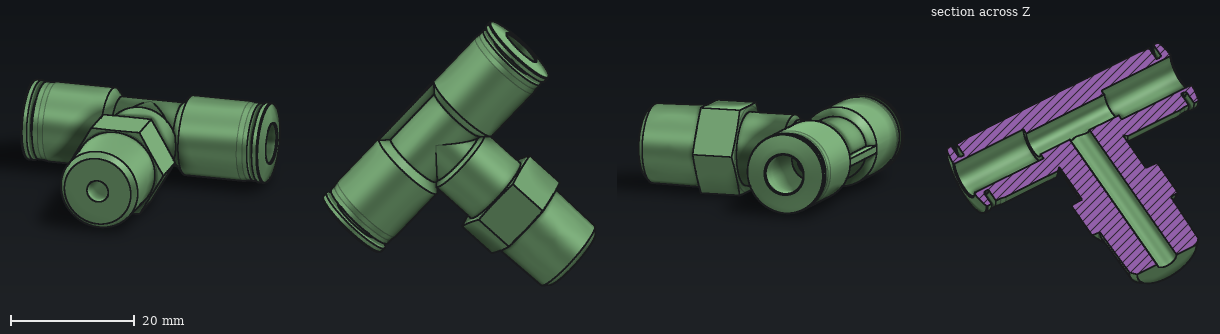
import cadquery as cq
import math

half_length = 20.4
socket_radius = 13.0 / 2
mouth_step_radius = 12.7 / 2
neck_radius = 5.2
neck_half_length = 5.22
shoulder_x = neck_half_length + socket_radius - neck_radius
mouth_taper_x = 16.3
mouth_step_x = 17.2
mouth_x = 18.05

collar_back_x = 18.93
collar_rim_x = 19.7
collar_edge_x = 19.9
collar_edge_drop = 0.1
collar_dome_mid_x = 20.25
collar_dome_mid_radius = 5.0
stem_radius = 7.75 / 2
stem_root_radius = 4.05
stem_root_x = 18.55

tube_radius = 6.35 / 2
tube_stop_x = 7.35
tube_lead_in = 0.2
run_bore_radius = 4.5 / 2

branch_radius = 12.0 / 2
branch_cone_start = 4.8
branch_cone_end = 5.45
hex_start = 13.15
hex_length = 6.85
hex_flats = 14.0
hex_bevel_angle = 6.0
hex_bevel_radius = hex_flats / 2
hex_end = hex_start + hex_length
thread_base_radius = 6.7
thread_tip_radius = 6.5
thread_bevel = 0.95
thread_tip_face_radius = 5.6
branch_end = 36.5 - socket_radius
branch_bore_radius = 3.6 / 2

back_rib_thickness = 1.22


def revolve_branch(points):
    """Turn (radius, distance towards -Y) points about the Y axis."""
    outline = [(radius, -distance) for radius, distance in points]
    return cq.Workplane("XY").polyline(outline).close().revolve(360, (0, 0), (0, 1))


def make_socket():
    """One half of the run, on the +X side, with its collar."""
    return (
        cq.Workplane("XY")
        .moveTo(0, 0)
        .lineTo(0, neck_radius)
        .lineTo(neck_half_length, neck_radius)
        .lineTo(shoulder_x, socket_radius)
        .lineTo(mouth_taper_x, socket_radius)
        .lineTo(mouth_step_x, mouth_step_radius)
        .lineTo(mouth_x, mouth_step_radius)
        .lineTo(mouth_x, stem_radius)
        .lineTo(stem_root_x, stem_radius)
        .lineTo(collar_back_x, stem_root_radius)
        .lineTo(collar_back_x, socket_radius)
        .lineTo(collar_rim_x, socket_radius)
        .lineTo(collar_edge_x, socket_radius - collar_edge_drop)
        .threePointArc(
            (collar_dome_mid_x, collar_dome_mid_radius),
            (half_length, tube_radius + tube_lead_in),
        )
        .lineTo(half_length, 0)
        .close()
        .revolve(360, (0, 0), (1, 0))
    )


def make_tube_bore():
    """Tube seat on the +X side with a small lead-in at the mouth."""
    return (
        cq.Workplane("XY")
        .moveTo(tube_stop_x, 0)
        .lineTo(tube_stop_x, tube_radius)
        .lineTo(half_length - tube_lead_in, tube_radius)
        .lineTo(half_length, tube_radius + tube_lead_in)
        .lineTo(half_length, 0)
        .close()
        .revolve(360, (0, 0), (1, 0))
    )


def make_branch():
    """Round branch and tapered thread body, meeting the run neck in a mitre."""
    return revolve_branch([
        (0, 0),
        (neck_radius, 0),
        (neck_radius, branch_cone_start),
        (branch_radius, branch_cone_end),
        (branch_radius, hex_start),
        (thread_base_radius, hex_start),
        (thread_base_radius, hex_end),
        (thread_tip_radius, branch_end - thread_bevel),
        (thread_tip_face_radius, branch_end),
        (0, branch_end),
    ])


def make_hex():
    """Wrench hexagon with flats facing +Z and -Z and both ends bevelled."""
    corner_radius = hex_flats / math.sqrt(3)
    bevel = (corner_radius - hex_bevel_radius) * math.tan(math.radians(hex_bevel_angle))
    prism = (
        cq.Workplane("XZ", origin=(0, -hex_start, 0))
        .polygon(6, 2 * corner_radius)
        .extrude(hex_length)
    )
    envelope = revolve_branch([
        (0, hex_start),
        (hex_bevel_radius, hex_start),
        (corner_radius, hex_start + bevel),
        (corner_radius, hex_end - bevel),
        (hex_bevel_radius, hex_end),
        (0, hex_end),
    ])
    return prism.intersect(envelope)


def make_back_rib():
    """Flat rib bridging the two sockets on the side opposite the branch."""
    return cq.Workplane("XY").box(
        2 * shoulder_x, socket_radius, back_rib_thickness, centered=(True, False, True)
    )


socket = make_socket()
tube_bore = make_tube_bore()
run_bore = cq.Workplane("YZ").circle(run_bore_radius).extrude(half_length, both=True)
branch_bore = cq.Workplane("XZ").circle(branch_bore_radius).extrude(branch_end)

result = (
    socket.union(socket.mirror("YZ"))
    .union(make_branch())
    .union(make_hex())
    .union(make_back_rib())
    .cut(run_bore)
    .cut(branch_bore)
    .cut(tube_bore)
    .cut(tube_bore.mirror("YZ"))
)